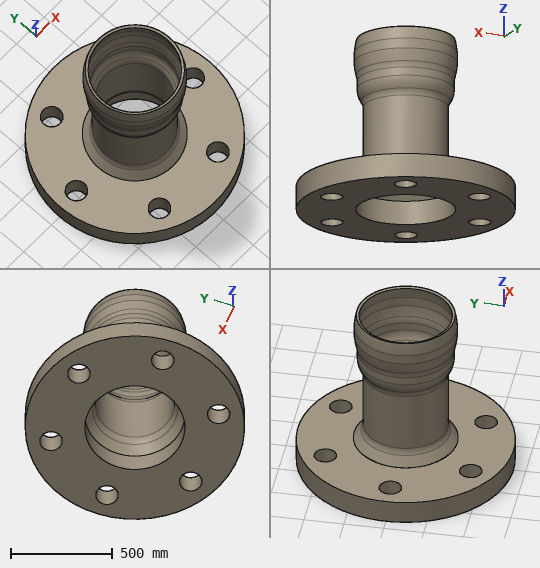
import cadquery as cq
import math

total_height = 870.0

flange_diameter = 1080.0
flange_thickness = 120.0
flange_bore = 492.0
bolt_hole_diameter = 110.0
bolt_circle_diameter = 840.0
bolt_count = 6

pipe_outer_radius = 420.0 / 2
pipe_inner_radius = 390.0 / 2
wall = pipe_outer_radius - pipe_inner_radius
socket_outer_radius = 480.0 / 2
bulge_outer_radius = socket_outer_radius + wall

flare_angle = math.radians(37)
pipe_bend_radius = 57.0
shoulder_radius = 103.0
socket_bend_radius = 100.0
bulge_radius = 200.0
lip_angle = math.radians(19)

socket_length = 42.0
bulge_length = 51.0


def step_angle(radius_change, first_radius, second_radius):
    """Turn of each arc in an S-shaped step made of two tangent arcs."""
    return math.acos(1 - radius_change / (first_radius + second_radius))


def straight(length):
    return ("straight", length)


def arc(radius, turn):
    """Circular bend; a positive turn leans the tube inward and bulges it outward."""
    return ("arc", radius, turn)


def walk(start, lean, steps, offset):
    """Trace one skin of the tube from its foot up, offset inward from the outer skin.

    The lean is the angle from vertical toward the axis. Returns a list of
    (middle, end) pairs, one for each step; a straight step has no middle point.
    """
    def skin(point, angle):
        return (point[0] - offset * math.cos(angle), point[1] - offset * math.sin(angle))

    point = start
    pieces = []
    for step in steps:
        if step[0] == "straight":
            length = step[1]
            point = (point[0] - length * math.sin(lean), point[1] + length * math.cos(lean))
            pieces.append((None, skin(point, lean)))
        else:
            radius, turn = step[1:]
            side = math.copysign(radius, turn)
            center = (point[0] - side * math.cos(lean), point[1] - side * math.sin(lean))

            def on_arc(angle):
                return (center[0] + side * math.cos(angle), center[1] + side * math.sin(angle))

            middle_lean = lean + turn / 2
            lean += turn
            middle = skin(on_arc(middle_lean), middle_lean)
            point = on_arc(lean)
            pieces.append((middle, skin(point, lean)))
    return pieces


def make_flange():
    """Flat ring with a circle of bolt holes."""
    return (
        cq.Workplane("XY")
        .circle(flange_diameter / 2)
        .circle(flange_bore / 2)
        .extrude(flange_thickness)
        .faces(">Z")
        .workplane()
        .polarArray(bolt_circle_diameter / 2, 0, 360, bolt_count)
        .hole(bolt_hole_diameter)
    )


def make_tube():
    """Constant-wall tube with a flared foot, a stepped socket and a curled-in lip."""
    foot_inner = (flange_bore / 2, flange_thickness)
    foot_outer = (
        foot_inner[0] + wall * math.cos(flare_angle),
        foot_inner[1] + wall * math.sin(flare_angle),
    )
    flare_bend_width = pipe_bend_radius * (1 - math.cos(flare_angle))
    flare_length = (foot_outer[0] - pipe_outer_radius - flare_bend_width) / math.sin(flare_angle)

    socket_turn = step_angle(
        socket_outer_radius - pipe_outer_radius, pipe_bend_radius, shoulder_radius
    )
    bulge_turn = step_angle(
        bulge_outer_radius - socket_outer_radius, socket_bend_radius, bulge_radius
    )
    flare = [straight(flare_length), arc(pipe_bend_radius, -flare_angle)]
    head = [
        arc(pipe_bend_radius, -socket_turn),
        arc(shoulder_radius, socket_turn),
        straight(socket_length),
        arc(socket_bend_radius, -bulge_turn),
        arc(bulge_radius, bulge_turn),
        straight(bulge_length),
        arc(bulge_radius, lip_angle),
    ]

    formed_top = walk(foot_outer, flare_angle, flare + head, 0)[-1][1][1]
    steps = flare + [straight(total_height - formed_top)] + head
    outer = walk(foot_outer, flare_angle, steps, 0)
    inner = walk(foot_outer, flare_angle, steps, wall)

    profile = cq.Workplane("XZ").moveTo(*foot_outer)
    for middle, end in outer:
        profile = profile.threePointArc(middle, end) if middle else profile.lineTo(*end)

    profile = profile.lineTo(*inner[-1][1])
    lower_ends = [foot_inner] + [end for _, end in inner[:-1]]
    for (middle, _), end in zip(reversed(inner), reversed(lower_ends)):
        profile = profile.threePointArc(middle, end) if middle else profile.lineTo(*end)
    return profile.close().revolve(360, (0, 0, 0), (0, 1, 0))


flange = make_flange()
tube = make_tube()
result = cq.Compound.makeCompound([flange.val(), tube.val()])